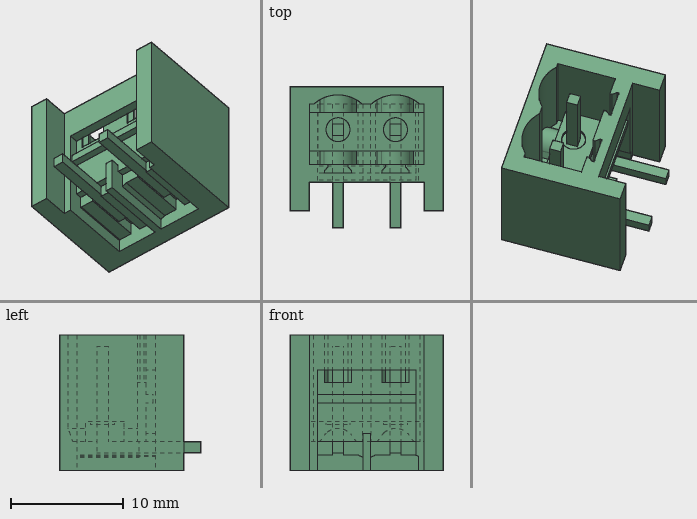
import cadquery as cq


WIDTH = 13.56
DEPTH = 11.0
HEIGHT = 12.0
SIDE_WALL = 1.7
INNER_HALF = WIDTH / 2 - SIDE_WALL
FRONT_Y = 2.51

PITCH = 5.08
PIN_CENTRES = (-PITCH / 2, PITCH / 2)
PIN_WIDTH = 0.96
PIN_THICK = 1.0
PIN_Y = 7.19
PIN_BACK_Y = PIN_Y + PIN_THICK / 2
PIN_TOP_Z = 11.0
TAIL_REACH = 1.5
TAIL_TOP_Z = 2.56
TAIL_BOTTOM_Z = TAIL_TOP_Z - PIN_THICK

CAVITY_FRONT_Y = 4.11
CAVITY_BACK_Y = 9.44
BACK_ARC_HALF = 2.15
BACK_ARC_RISE = 0.83
FLOOR_Z = TAIL_TOP_Z

BAR_FRONT_Y = 5.32
BAR_BACK_Y = 8.72
BAR_TOP_Z = 4.34
RECESS_RADIUS = 1.06
RECESS_DEPTH = 0.27

RIDGE_BASE_HALF = 1.61
RIDGE_ARC_HALF = 1.25
RIDGE_FLANK_RISE = 0.52
RIDGE_ARC_RISE = 0.65

WINDOW_HALF = 4.38
WINDOW_TOP_Z = 8.9
WINDOW_BACK_Y = 3.36
LOWER_BACK_Y = 3.96
RIB_FRONT_Y = 2.73
RIB_BOTTOM_Z = 5.97
RIB_TOP_Z = 6.73
POST_HALF = 0.34
POST_TOP_Z = 3.3

DOVETAIL_WIDE_HALF = 1.21
DOVETAIL_NARROW_HALF = 0.9
DOVETAIL_WIDE_Y = 3.53
DOVETAIL_NARROW_Y = 3.89
DOVETAIL_BOTTOM_Z = 7.81

HOLLOW_TOP_Z = 1.37
HOLLOW_FLAT_HALF = 1.76
HOLLOW_ROOF_SLOPE = 0.45
HOLLOW_RIGHT_X = 4.57


def block(x, y, z):
    """Box from (low, high) limits along each axis."""
    box = cq.Workplane("XY").box(x[1] - x[0], y[1] - y[0], z[1] - z[0], centered=False)
    return box.translate((x[0], y[0], z[0]))


def extrude_along_y(outline, y_start, y_end):
    """Extrude a closed outline, drawn in X and Z at Y = 0, between two Y places."""
    return outline.extrude(-(y_end - y_start)).translate((0, y_start, 0))


def shell():
    body = block((-WIDTH / 2, WIDTH / 2), (0, DEPTH), (0, HEIGHT))
    return body.cut(block((-INNER_HALF, INNER_HALF), (0, FRONT_Y), (0, HEIGHT)))


def plug_cavity():
    outline = cq.Workplane("XY", origin=(0, 0, FLOOR_Z)).moveTo(-INNER_HALF, CAVITY_FRONT_Y)
    outline = outline.lineTo(-INNER_HALF, CAVITY_BACK_Y)
    for x in PIN_CENTRES:
        outline = outline.lineTo(x - BACK_ARC_HALF, CAVITY_BACK_Y)
        outline = outline.threePointArc(
            (x, CAVITY_BACK_Y + BACK_ARC_RISE), (x + BACK_ARC_HALF, CAVITY_BACK_Y)
        )
    outline = outline.lineTo(INNER_HALF, CAVITY_BACK_Y).lineTo(INNER_HALF, CAVITY_FRONT_Y).close()
    return outline.extrude(HEIGHT - FLOOR_Z)


def ridge(x):
    arc_z = FLOOR_Z + RIDGE_FLANK_RISE
    outline = (
        cq.Workplane("XZ")
        .moveTo(x - RIDGE_BASE_HALF, FLOOR_Z)
        .lineTo(x - RIDGE_ARC_HALF, arc_z)
        .threePointArc((x, arc_z + RIDGE_ARC_RISE), (x + RIDGE_ARC_HALF, arc_z))
        .lineTo(x + RIDGE_BASE_HALF, FLOOR_Z)
        .close()
    )
    return extrude_along_y(outline, CAVITY_FRONT_Y, CAVITY_BACK_Y + BACK_ARC_RISE)


def pin_bar():
    return block((-INNER_HALF, INNER_HALF), (BAR_FRONT_Y, BAR_BACK_Y), (FLOOR_Z, BAR_TOP_Z))


def pin_recess(x):
    base = cq.Workplane("XY", origin=(x, PIN_Y, BAR_TOP_Z - RECESS_DEPTH))
    return base.circle(RECESS_RADIUS).extrude(RECESS_DEPTH)


def dovetail(x):
    right_side = [
        (DOVETAIL_WIDE_HALF, WINDOW_BACK_Y),
        (DOVETAIL_WIDE_HALF, DOVETAIL_WIDE_Y),
        (DOVETAIL_NARROW_HALF, DOVETAIL_NARROW_Y),
        (DOVETAIL_NARROW_HALF, CAVITY_FRONT_Y),
    ]
    left_side = [(-dx, y) for dx, y in reversed(right_side)]
    outline = cq.Workplane("XY", origin=(x, 0, DOVETAIL_BOTTOM_Z)).polyline(right_side + left_side).close()
    return outline.extrude(HEIGHT - DOVETAIL_BOTTOM_Z)


def window():
    across = (-WINDOW_HALF, WINDOW_HALF)
    upper = block(across, (FRONT_Y, WINDOW_BACK_Y), (0, WINDOW_TOP_Z))
    return upper.union(block(across, (FRONT_Y, LOWER_BACK_Y), (0, TAIL_TOP_Z)))


def window_rib():
    return block((-WINDOW_HALF, WINDOW_HALF), (RIB_FRONT_Y, WINDOW_BACK_Y), (RIB_BOTTOM_Z, RIB_TOP_Z))


def centre_post():
    """Post that parts the two tails; its top joins the back of the window."""
    across = (-POST_HALF, POST_HALF)
    foot = block(across, (FRONT_Y, LOWER_BACK_Y), (0, TAIL_TOP_Z))
    return foot.union(block(across, (FRONT_Y, WINDOW_BACK_Y), (0, POST_TOP_Z)))


def hollow(x, left, right):
    """Hollow below the pin at x; its roof is level near the pin and falls to both sides."""
    roof_left = x - HOLLOW_FLAT_HALF
    roof_right = x + HOLLOW_FLAT_HALF
    outline = (
        cq.Workplane("XZ")
        .moveTo(left, 0)
        .lineTo(left, HOLLOW_TOP_Z - HOLLOW_ROOF_SLOPE * (roof_left - left))
        .lineTo(roof_left, HOLLOW_TOP_Z)
        .lineTo(roof_right, HOLLOW_TOP_Z)
        .lineTo(right, HOLLOW_TOP_Z - HOLLOW_ROOF_SLOPE * (right - roof_right))
        .lineTo(right, 0)
        .close()
    )
    return extrude_along_y(outline, FRONT_Y, CAVITY_BACK_Y)


def pin(x):
    across = (x - PIN_WIDTH / 2, x + PIN_WIDTH / 2)
    upright = block(across, (PIN_BACK_Y - PIN_THICK, PIN_BACK_Y), (TAIL_BOTTOM_Z, PIN_TOP_Z))
    return upright.union(block(across, (-TAIL_REACH, PIN_BACK_Y), (TAIL_BOTTOM_Z, TAIL_TOP_Z)))


def tail_channel(x):
    """Channel for the tail, open to the hollow below and as long as it."""
    across = (x - PIN_WIDTH / 2, x + PIN_WIDTH / 2)
    return block(across, (LOWER_BACK_Y, CAVITY_BACK_Y), (HOLLOW_TOP_Z, TAIL_TOP_Z))


pins = [pin(x) for x in PIN_CENTRES]

cavity_space = plug_cavity()
housing = shell().cut(cavity_space).union(pin_bar())
for x in PIN_CENTRES:
    housing = housing.union(ridge(x).intersect(cavity_space))
    housing = housing.cut(pin_recess(x)).cut(dovetail(x))
housing = housing.cut(window()).union(window_rib()).union(centre_post())
housing = housing.cut(hollow(PIN_CENTRES[0], -WINDOW_HALF, -POST_HALF))
housing = housing.cut(hollow(PIN_CENTRES[1], POST_HALF, HOLLOW_RIGHT_X))
for x, square_pin in zip(PIN_CENTRES, pins):
    housing = housing.cut(tail_channel(x)).cut(square_pin)

result = cq.Compound.makeCompound([housing.val(), *[square_pin.val() for square_pin in pins]])